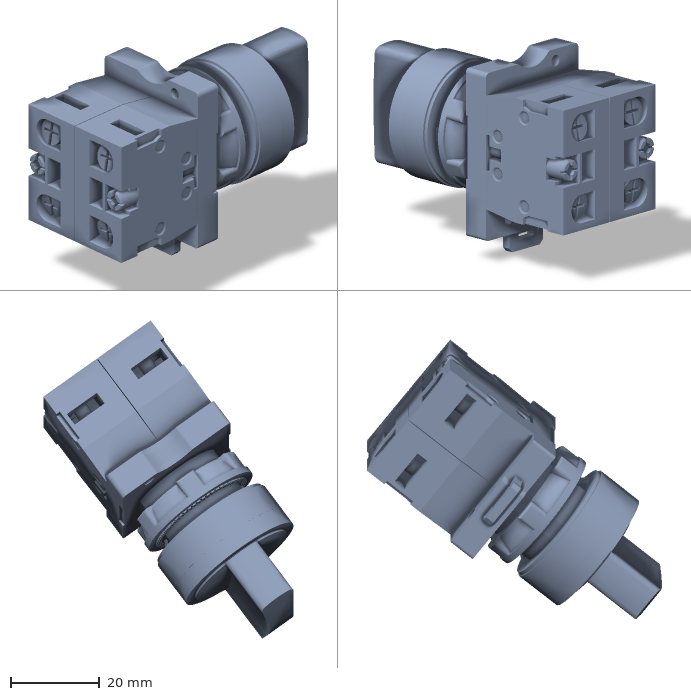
import cadquery as cq
import math


PLATE_REAR_Y = 24.1
PLATE_FRONT_Y = 30.4
NUT_REAR_Y = 33.45
FLANGE_REAR_Y = 37.95
WASHER_REAR_Y = 39.55
WASHER_FRONT_Y = 39.9
LIP_REAR_Y = 42.9
BEZEL_REAR_Y = 43.75
BEZEL_JOINT_Y = 50.45
BEZEL_FRONT_Y = 54.45
COLLAR_EDGE_Y = 55.0
COLLAR_FRONT_Y = 55.5
HANDLE_SHOULDER_Y = 68.5
HANDLE_TIP_Y = 70.5

HANDLE_END_R = 14.1
HANDLE_HALF_WAIST = 3.2
HANDLE_HALF_WIDTH = 4.6
HANDLE_FILLET = 1.4

BEZEL_D = 30.0
BEZEL_FRONT_D = 29.95
LIP_D = 29.0
COLLAR_D = 25.2
COLLAR_FRONT_D = 21.4
NECK_D = 22.0
NECK_WIDTH = 20.3
NECK_HEIGHT = 21.6

CLIP_WIDTH = 3.1
CLIP_TIP_X = 12.1
CLIP_TIP_Y = 42.4
CLIP_BEND_X = 10.95
CLIP_BEND_Y = 40.9
CLIP_END_X = 10.85
CLIP_END_Y = 40.35
CLIP_THICKNESS = 0.85

NUT_D = 29.0
NUT_RIBS = 6
RIB_WIDTH = 4.9
RIB_FILLET = 0.9
NUT_REAR_CHAMFER = 0.45
NUT_CORE_FRONT_D = 27.86
NUT_CORE_REAR_D = 25.2
WASHER_D = 25.2
WASHER_TEETH = 60
TOOTH_GAP = 0.5
TOOTH_HEIGHT = 0.25

HALF_WIDTH = 15.0
PLATE_TOP_LEFT_Z = 18.5
PLATE_TOP_RIGHT_Z = 19.6
PLATE_BOTTOM_LEFT_Z = -20.85
PLATE_BOTTOM_RIGHT_Z = -19.8
PLATE_STEP_X = 3.4
PLATE_STEP_RUN = 0.95
PLATE_TOP_FILLET = 1.1
PLATE_BOTTOM_FILLET = 0.8
VALLEY_R = 6.8
VALLEY_BOTTOM_Z = 16.9
VALLEY_FILLET = 1.0
PLATE_HOLE_D = 2.6
PLATE_HOLES = ((7.55, 16.85), (-7.55, -17.1))
SLOT_HALF_WIDTH = 1.4
SLOT_TOP_Z = -17.65
SLOT_BOTTOM_Z = -18.95
SIDE_RECESS_DEPTH = 0.5
SIDE_RECESS_HALF_HEIGHT = 7.5
SIDE_RECESS_LENGTH = 1.5

TAB_REAR_Y = 26.0
TAB_FRONT_Y = 28.0
TAB_BOTTOM_Z = -25.9
TAB_TOP_Z = -17.0
TAB_HALF_WIDTH = 5.45
TAB_CHAMFER = 1.0
TAB_ARM_X = 6.05
TAB_ARM_BEND_Z = -23.0
TAB_SLOT_LENGTH = 5.0
TAB_SLOT_HEIGHT = 1.35
TAB_SLOT_Z = -22.7
TAB_SLOT_FILLET = 0.4
TAB_NOTCH = ((3.65, -23.0), (4.05, -23.0), (4.4, -19.8), (3.65, -20.8))

BLOCK_HALF_WIDTH = 14.95
BLOCK_HALF_HEIGHT = 14.6
BLOCK_BEVEL_Y = 15.1
BLOCK_BEVEL_HALF_HEIGHT = 13.3
JOINT_GAP = 0.2
JOINT_DEPTH = 0.1
JOINT_FLOOR_Z = BLOCK_BEVEL_HALF_HEIGHT - JOINT_DEPTH
INNER_WALL_X = 4.7

TERMINAL_X = 9.0
TERMINAL_Z = 9.55
TERMINAL_TILT = 10.0
TERMINAL_DEPTH = 7.1
TERMINAL_BORE_D = 6.6
HEAD_D = 6.2
HEAD_DEPTH = 1.35
HEAD_THICKNESS = 2.2
SHANK_D = 3.5
SHANK_END = 12.0
LONG_SLOT_WIDTH = 0.85
SHORT_SLOT_WIDTH = 0.75
SHORT_SLOT_LENGTH = 4.4
HEAD_SLOT_DEPTH = 1.0
CUT_OVERRUN = 2.0

WIRE_OUTER_X = 13.05
WIRE_REAR_Y = 6.4
WIRE_FRONT_Y = 9.4
WIRE_FLOOR_Z = 5.5

MIDDLE_HALF_HEIGHT = 3.5
MIDDLE_OUTER_X = 8.85
MIDDLE_DEPTH = 8.0
SIDE_POCKET_INNER_X = 9.65
SIDE_POCKET_DEPTH = 2.65
SIDE_SCREW_X = 12.4
SIDE_SCREW_D = 5.0
SIDE_BORE_D = 5.3
SIDE_BORE_DEPTH = 5.4
SIDE_HEAD_SETBACK = 0.1
SIDE_HEAD_CHAMFER = 0.3
SIDE_SLOT_WIDTH_Z = 0.65
SIDE_SLOT_WIDTH_X = 0.9
SIDE_SLOT_DEPTH = 1.0
SIDE_RECESS_D = 2.4

DIMPLE_OUTER_D = 3.3
DIMPLE_INNER_D = 2.5
DIMPLE_DEPTH = 0.3
DIMPLE_PLACES = ((12.3, 10.4), (20.6, 4.4))
GRIP_REAR_Y = 5.0
GRIP_FRONT_Y = 12.6
GRIP_BEND_Y = 10.85
GRIP_FLOOR_Z = 12.2
GRIP_BEND_Z = 13.0
GRIP_DEPTH = 0.95
PIN_D = 3.3
PIN_X = 12.0
PIN_SLOT_REAR_Y = 19.4
PIN_SLOT_DEPTH = 4.7
PIN_RECESS_HALF_HEIGHT = 4.25
PIN_RECESS_LENGTH = 1.05
PIN_RECESS_DEPTH = 0.9


def box(x0, x1, y0, y1, z0, z1):
    corner = cq.Vector(min(x0, x1), min(y0, y1), min(z0, z1))
    return cq.Workplane(cq.Solid.makeBox(abs(x1 - x0), abs(y1 - y0), abs(z1 - z0), corner))


def disk(diameter, y0, y1, x=0.0, z=0.0):
    """Cylinder along Y."""
    return cq.Workplane("XZ", origin=(x, y1, z)).circle(diameter / 2).extrude(y1 - y0)


def cone(d0, d1, y0, y1, x=0.0, z=0.0):
    """Frustum along Y with diameter d0 at y0 and d1 at y1."""
    solid = cq.Solid.makeCone(d0 / 2, d1 / 2, y1 - y0, cq.Vector(x, y0, z), cq.Vector(0, 1, 0))
    return cq.Workplane(solid)


def plate_of(points, y0, y1):
    """Polygon in X and Z, extruded along Y."""
    return cq.Workplane("XZ", origin=(0, y1, 0)).polyline(points).close().extrude(y1 - y0)


def both_sides(shape):
    return shape.union(shape.mirror("YZ"))


def both_ends(shape):
    return shape.union(shape.mirror("XY"))


def make_handle():
    """Grip with hollow sides, rounded ends and a domed tip."""
    w = HANDLE_HALF_WIDTH
    r = HANDLE_END_R
    corner_z = math.sqrt(r**2 - w**2)
    grip = (
        cq.Workplane("XZ", origin=(0, HANDLE_TIP_Y, 0))
        .moveTo(-w, -corner_z)
        .threePointArc((0, -r), (w, -corner_z))
        .threePointArc((HANDLE_HALF_WAIST, 0), (w, corner_z))
        .threePointArc((0, r), (-w, corner_z))
        .threePointArc((-HANDLE_HALF_WAIST, 0), (-w, -corner_z))
        .close()
        .extrude(HANDLE_TIP_Y - COLLAR_EDGE_Y)
        .edges("|Y")
        .fillet(HANDLE_FILLET)
    )
    dome = (
        cq.Workplane("YZ", origin=(-w, 0, 0))
        .moveTo(COLLAR_EDGE_Y, -r)
        .lineTo(HANDLE_SHOULDER_Y, -r)
        .threePointArc((HANDLE_TIP_Y, 0), (HANDLE_SHOULDER_Y, r))
        .lineTo(COLLAR_EDGE_Y, r)
        .close()
        .extrude(2 * w)
    )
    return grip.intersect(dome)


def make_bezel():
    return (
        disk(LIP_D, LIP_REAR_Y, BEZEL_REAR_Y)
        .union(disk(BEZEL_D, BEZEL_REAR_Y, BEZEL_JOINT_Y))
        .union(disk(BEZEL_FRONT_D, BEZEL_JOINT_Y, BEZEL_FRONT_Y))
        .union(disk(COLLAR_D, BEZEL_FRONT_Y, COLLAR_EDGE_Y))
        .union(cone(COLLAR_D, COLLAR_FRONT_D, COLLAR_EDGE_Y, COLLAR_FRONT_Y))
    )


def make_neck():
    """Round neck with four flats."""
    flats = box(
        -NECK_WIDTH / 2, NECK_WIDTH / 2, PLATE_FRONT_Y, LIP_REAR_Y, -NECK_HEIGHT / 2, NECK_HEIGHT / 2
    )
    return disk(NECK_D, PLATE_FRONT_Y, LIP_REAR_Y).intersect(flats)


def make_clips():
    """Two slanted spring fingers that stick out of the neck."""
    clip = (
        cq.Workplane("XY", origin=(0, 0, -CLIP_WIDTH / 2))
        .polyline(
            [
                (-CLIP_TIP_X, CLIP_TIP_Y),
                (-CLIP_TIP_X + CLIP_THICKNESS, CLIP_TIP_Y),
                (-CLIP_BEND_X + CLIP_THICKNESS, CLIP_BEND_Y),
                (-CLIP_END_X + CLIP_THICKNESS, CLIP_END_Y),
                (-CLIP_END_X, CLIP_END_Y),
                (-CLIP_BEND_X, CLIP_BEND_Y),
            ]
        )
        .close()
        .extrude(CLIP_WIDTH)
    )
    return both_sides(clip)


def make_nut():
    """Flanged nut: a tapered core with rounded ribs, and a toothed washer."""
    chamfer_y = NUT_REAR_Y + NUT_REAR_CHAMFER
    rim = 2 * NUT_REAR_CHAMFER
    nut = cone(NUT_CORE_REAR_D, NUT_CORE_FRONT_D, chamfer_y, FLANGE_REAR_Y)
    nut = nut.union(cone(NUT_CORE_REAR_D - rim, NUT_CORE_REAR_D, NUT_REAR_Y, chamfer_y))
    rib = (
        box(-RIB_WIDTH / 2, RIB_WIDTH / 2, NUT_REAR_Y, FLANGE_REAR_Y, 0, NUT_D / 2)
        .intersect(disk(NUT_D, NUT_REAR_Y, FLANGE_REAR_Y))
        .edges("|Y and (not <Z)")
        .fillet(RIB_FILLET)
    )
    envelope = cone(NUT_D - rim, NUT_D, NUT_REAR_Y, chamfer_y)
    envelope = envelope.union(disk(NUT_D, chamfer_y, FLANGE_REAR_Y))
    rib = rib.intersect(envelope)
    for index in range(NUT_RIBS):
        angle = index * 360 / NUT_RIBS
        nut = nut.union(rib.rotate((0, 0, 0), (0, 1, 0), angle))
    nut = nut.union(disk(NUT_D, FLANGE_REAR_Y, WASHER_REAR_Y))
    return nut.union(make_washer())


def make_washer():
    washer = disk(WASHER_D, WASHER_REAR_Y, WASHER_FRONT_Y)
    gap = box(
        -TOOTH_GAP / 2,
        TOOTH_GAP / 2,
        WASHER_FRONT_Y - TOOTH_HEIGHT,
        WASHER_FRONT_Y,
        NECK_D / 2,
        WASHER_D / 2 + TOOTH_GAP,
    ).val()
    gaps = []
    for index in range(WASHER_TEETH):
        angle = index * 360 / WASHER_TEETH
        gaps.append(gap.rotate(cq.Vector(0, 0, 0), cq.Vector(0, 1, 0), angle))
    return washer.cut(cq.Workplane(cq.Compound.makeCompound(gaps)))


def round_edge(plate, x, z, radius):
    """Round the plate edge along Y that lies nearest to the given X and Z."""
    middle_y = (PLATE_REAR_Y + PLATE_FRONT_Y) / 2
    nearest = cq.NearestToPointSelector((x, middle_y, z))
    return plate.edges("|Y").edges(nearest).fillet(radius)


def make_plate():
    """Mounting plate with stepped top and bottom edges and a round valley."""
    corners = [
        (-HALF_WIDTH, PLATE_BOTTOM_LEFT_Z),
        (PLATE_STEP_X, PLATE_BOTTOM_LEFT_Z),
        (PLATE_STEP_X + PLATE_STEP_RUN, PLATE_BOTTOM_RIGHT_Z),
        (HALF_WIDTH, PLATE_BOTTOM_RIGHT_Z),
        (HALF_WIDTH, PLATE_TOP_RIGHT_Z),
        (0, PLATE_TOP_RIGHT_Z),
        (0, PLATE_TOP_LEFT_Z),
        (-HALF_WIDTH, PLATE_TOP_LEFT_Z),
    ]
    plate = plate_of(corners, PLATE_REAR_Y, PLATE_FRONT_Y)
    plate = round_edge(plate, HALF_WIDTH, PLATE_TOP_RIGHT_Z, PLATE_TOP_FILLET)
    plate = round_edge(plate, -HALF_WIDTH, PLATE_TOP_LEFT_Z, PLATE_TOP_FILLET)
    plate = round_edge(plate, HALF_WIDTH, PLATE_BOTTOM_RIGHT_Z, PLATE_BOTTOM_FILLET)
    plate = round_edge(plate, -HALF_WIDTH, PLATE_BOTTOM_LEFT_Z, PLATE_BOTTOM_FILLET)

    valley_z = VALLEY_BOTTOM_Z + VALLEY_R
    plate = plate.cut(disk(2 * VALLEY_R, PLATE_REAR_Y, PLATE_FRONT_Y, z=valley_z))
    for side, crest_z in ((1, PLATE_TOP_RIGHT_Z), (-1, PLATE_TOP_LEFT_Z)):
        crest_x = side * math.sqrt(VALLEY_R**2 - (valley_z - crest_z) ** 2)
        plate = round_edge(plate, crest_x, crest_z, VALLEY_FILLET)

    recess = box(
        -HALF_WIDTH,
        -HALF_WIDTH + SIDE_RECESS_DEPTH,
        PLATE_FRONT_Y - SIDE_RECESS_LENGTH,
        PLATE_FRONT_Y,
        -SIDE_RECESS_HALF_HEIGHT,
        SIDE_RECESS_HALF_HEIGHT,
    )
    plate = plate.cut(both_sides(recess)).union(make_tab())
    for x, z in PLATE_HOLES:
        plate = plate.cut(disk(PLATE_HOLE_D, PLATE_REAR_Y, PLATE_FRONT_Y, x, z))
    plate = plate.cut(plate_of(TAB_NOTCH, TAB_REAR_Y, TAB_FRONT_Y))
    return plate.cut(
        box(
            -SLOT_HALF_WIDTH, SLOT_HALF_WIDTH, PLATE_REAR_Y, PLATE_FRONT_Y, SLOT_BOTTOM_Z, SLOT_TOP_Z
        )
    )


def make_tab():
    """Thin latch tab with a springy arm on its right and a rounded slot."""
    w = TAB_HALF_WIDTH
    tab = plate_of(
        [
            (-w, TAB_TOP_Z),
            (-w, TAB_BOTTOM_Z + TAB_CHAMFER),
            (-w + TAB_CHAMFER, TAB_BOTTOM_Z),
            (w - TAB_CHAMFER, TAB_BOTTOM_Z),
            (w, TAB_BOTTOM_Z + TAB_CHAMFER),
            (w, TAB_ARM_BEND_Z),
            (TAB_ARM_X, PLATE_BOTTOM_RIGHT_Z),
            (TAB_ARM_X, TAB_TOP_Z),
        ],
        TAB_REAR_Y,
        TAB_FRONT_Y,
    )
    slot = (
        box(
            -TAB_SLOT_LENGTH / 2,
            TAB_SLOT_LENGTH / 2,
            TAB_REAR_Y,
            TAB_FRONT_Y,
            TAB_SLOT_Z - TAB_SLOT_HEIGHT / 2,
            TAB_SLOT_Z + TAB_SLOT_HEIGHT / 2,
        )
        .edges("|Y")
        .fillet(TAB_SLOT_FILLET)
    )
    return tab.cut(slot)


def make_block_body():
    """Both contact blocks, bevelled towards the plate, with the joint between them."""
    h = BLOCK_HALF_HEIGHT
    body = (
        cq.Workplane("YZ", origin=(-BLOCK_HALF_WIDTH, 0, 0))
        .polyline(
            [
                (0, -h),
                (BLOCK_BEVEL_Y, -h),
                (PLATE_REAR_Y, -BLOCK_BEVEL_HALF_HEIGHT),
                (PLATE_REAR_Y, BLOCK_BEVEL_HALF_HEIGHT),
                (BLOCK_BEVEL_Y, h),
                (0, h),
            ]
        )
        .close()
        .extrude(2 * BLOCK_HALF_WIDTH)
    )
    rear_gap = box(-JOINT_GAP / 2, JOINT_GAP / 2, 0, JOINT_DEPTH, -h, h)
    top_gap = box(-JOINT_GAP / 2, JOINT_GAP / 2, 0, PLATE_REAR_Y, JOINT_FLOOR_Z, h)
    return body.cut(rear_gap).cut(both_ends(top_gap))


def tilt(shape):
    """Lean a part of the upper terminal so that its outer end points up."""
    return shape.rotate((0, 0, TERMINAL_Z), (1, 0, TERMINAL_Z), -TERMINAL_TILT)


def make_terminal_pocket():
    """Upper left terminal pocket: a round bore with a square inner half."""
    r = TERMINAL_BORE_D / 2
    bore = disk(TERMINAL_BORE_D, -CUT_OVERRUN, TERMINAL_DEPTH, -TERMINAL_X, TERMINAL_Z)
    square = box(
        -TERMINAL_X, -INNER_WALL_X, -CUT_OVERRUN, TERMINAL_DEPTH, TERMINAL_Z - r, TERMINAL_Z + r
    )
    return tilt(bore.union(square))


def make_terminal_screw():
    """Upper left terminal screw with a cross slot."""
    head_end = HEAD_DEPTH + HEAD_THICKNESS
    slot_end = HEAD_DEPTH + HEAD_SLOT_DEPTH
    head = disk(HEAD_D, HEAD_DEPTH, head_end, -TERMINAL_X, TERMINAL_Z)
    long_slot = box(
        -LONG_SLOT_WIDTH / 2, LONG_SLOT_WIDTH / 2, HEAD_DEPTH, slot_end, -HEAD_D / 2, HEAD_D / 2
    )
    short_slot = box(
        -SHORT_SLOT_LENGTH / 2,
        SHORT_SLOT_LENGTH / 2,
        HEAD_DEPTH,
        slot_end,
        -SHORT_SLOT_WIDTH / 2,
        SHORT_SLOT_WIDTH / 2,
    )
    slots = long_slot.union(short_slot).translate((-TERMINAL_X, 0, TERMINAL_Z))
    shank = disk(SHANK_D, head_end, SHANK_END, -TERMINAL_X, TERMINAL_Z)
    return tilt(head.cut(slots).union(shank))


def make_wire_window():
    return box(
        -WIRE_OUTER_X, -INNER_WALL_X, WIRE_REAR_Y, WIRE_FRONT_Y, WIRE_FLOOR_Z, BLOCK_HALF_HEIGHT
    )


def make_side_pocket():
    """Left side pocket around the side screw, with the window next to it."""
    h = MIDDLE_HALF_HEIGHT
    r = SIDE_BORE_D / 2
    wide = box(-BLOCK_HALF_WIDTH, -SIDE_POCKET_INNER_X, 0, SIDE_POCKET_DEPTH, -h, h)
    bore = disk(SIDE_BORE_D, 0, SIDE_BORE_DEPTH, -SIDE_SCREW_X)
    mouth = box(-BLOCK_HALF_WIDTH, -SIDE_SCREW_X, 0, SIDE_BORE_DEPTH, -r, r)
    window = box(-MIDDLE_OUTER_X, -INNER_WALL_X, 0, MIDDLE_DEPTH, -h, h)
    return wide.union(bore).union(mouth).union(window)


def make_side_screw():
    """Left side screw with a cross slot around a round recess."""
    r = SIDE_SCREW_D / 2
    head_y = SIDE_HEAD_SETBACK
    slot_end = head_y + SIDE_SLOT_DEPTH
    screw = disk(SIDE_SCREW_D, head_y, SIDE_BORE_DEPTH, -SIDE_SCREW_X)
    screw = screw.faces("<Y").chamfer(SIDE_HEAD_CHAMFER)
    slot_x = box(-r, r, head_y, slot_end, -SIDE_SLOT_WIDTH_Z / 2, SIDE_SLOT_WIDTH_Z / 2)
    slot_z = box(-SIDE_SLOT_WIDTH_X / 2, SIDE_SLOT_WIDTH_X / 2, head_y, slot_end, -r, r)
    slots = slot_x.union(slot_z).translate((-SIDE_SCREW_X, 0, 0))
    recess = disk(SIDE_RECESS_D, head_y, slot_end, -SIDE_SCREW_X)
    return screw.cut(slots).cut(recess)


def make_side_cuts():
    """Dimples and grip recesses of the upper half of the left side face."""
    cuts = (
        cq.Workplane("YZ", origin=(-BLOCK_HALF_WIDTH, 0, 0))
        .polyline(
            [
                (GRIP_REAR_Y, BLOCK_HALF_HEIGHT),
                (GRIP_REAR_Y, GRIP_FLOOR_Z),
                (GRIP_BEND_Y, GRIP_FLOOR_Z),
                (GRIP_FRONT_Y, GRIP_BEND_Z),
                (GRIP_FRONT_Y, BLOCK_HALF_HEIGHT),
            ]
        )
        .close()
        .extrude(GRIP_DEPTH)
    )
    for y, z in DIMPLE_PLACES:
        dimple = cq.Solid.makeCone(
            DIMPLE_OUTER_D / 2,
            DIMPLE_INNER_D / 2,
            DIMPLE_DEPTH,
            cq.Vector(-BLOCK_HALF_WIDTH, y, z),
            cq.Vector(1, 0, 0),
        )
        cuts = cuts.union(cq.Workplane(dimple))
    return cuts


def make_pin_slot():
    r = PIN_D / 2
    slot = box(
        -BLOCK_HALF_WIDTH, -BLOCK_HALF_WIDTH + PIN_SLOT_DEPTH, PIN_SLOT_REAR_Y, PLATE_REAR_Y, -r, r
    )
    recess = box(
        -BLOCK_HALF_WIDTH,
        -BLOCK_HALF_WIDTH + PIN_RECESS_DEPTH,
        PLATE_REAR_Y - PIN_RECESS_LENGTH,
        PLATE_REAR_Y,
        -PIN_RECESS_HALF_HEIGHT,
        PIN_RECESS_HALF_HEIGHT,
    )
    return slot.union(recess)


def make_contact_blocks():
    blocks = make_block_body()
    quarter_cuts = make_terminal_pocket().union(make_wire_window()).union(make_side_cuts())
    half_cuts = both_ends(quarter_cuts).union(make_side_pocket()).union(make_pin_slot())
    pin = disk(PIN_D, PIN_SLOT_REAR_Y, PLATE_REAR_Y, -PIN_X)
    half_screws = both_ends(make_terminal_screw()).union(make_side_screw()).union(pin)
    return blocks.cut(both_sides(half_cuts)).union(both_sides(half_screws))


result = (
    make_contact_blocks()
    .union(make_plate())
    .union(make_neck())
    .union(make_nut())
    .union(make_clips())
    .union(make_bezel())
    .union(make_handle())
)